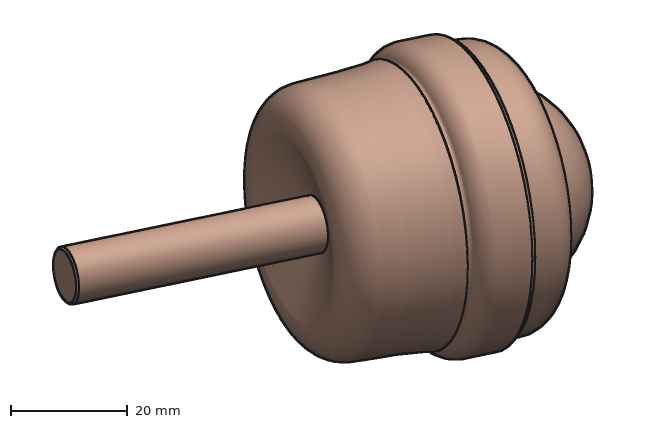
import cadquery as cq
import math

overall_length = 97.6

stem_radius = 5.1
stem_length = 42.8
stem_chamfer = 0.4

recess_radius = 16.6
recess_depth = 4.5

cup_radius = 24.4
cup_corner_radius = 6.4
cup_bend_y = 10.5
cup_bend_radius = 24.6
cup_rim_y = 19.3
cup_rim_radius = 25.2

groove_round_radius = 0.7
groove_start_angle = -80
collar_round_end_angle = -70

collar_radius = 55.5 / 2
collar_round_top_y = 26.4
collar_round_radius = 3.9
collar_top_y = 33.3
collar_chamfer_width = 0.5
collar_chamfer_height = 0.8

cap_radius = 26.1
cap_top_y = 42.7
cap_corner_radius = 5.8
ball_radius = 19.5
ball_top_y = overall_length - stem_length


def arc_point(center, radius, degrees):
    """Return the point on a circle at an angle measured from the radial direction."""
    angle = math.radians(degrees)
    return (center[0] + radius * math.cos(angle), center[1] + radius * math.sin(angle))


cup_corner_center = (cup_radius - cup_corner_radius, cup_corner_radius)
rim_offset = cup_corner_center[0] - recess_radius
recess_rim_y = cup_corner_radius - math.sqrt(cup_corner_radius**2 - rim_offset**2)

collar_round_center = (collar_radius - collar_round_radius, collar_round_top_y)
collar_round_end = arc_point(collar_round_center, collar_round_radius, collar_round_end_angle)
groove_center = arc_point(
    collar_round_center, collar_round_radius + groove_round_radius, collar_round_end_angle
)
cup_lip = arc_point(groove_center, groove_round_radius, groove_start_angle)

cap_corner_center = (cap_radius - cap_corner_radius, cap_top_y - cap_corner_radius)
ball_center = (0, ball_top_y - ball_radius)
ball_cut_radius = math.sqrt(ball_radius**2 - (cap_top_y - ball_center[1])**2)

profile = (
    cq.Workplane("XY")
    .moveTo(0, -stem_length)
    .lineTo(stem_radius - stem_chamfer, -stem_length)
    .lineTo(stem_radius, -stem_length + stem_chamfer)
    .lineTo(stem_radius, recess_depth)
    .lineTo(recess_radius, recess_rim_y)
    .threePointArc(arc_point(cup_corner_center, cup_corner_radius, -45), (cup_radius, cup_corner_radius))
    .lineTo(cup_bend_radius, cup_bend_y)
    .lineTo(cup_rim_radius, cup_rim_y)
    .lineTo(*cup_lip)
    .threePointArc(arc_point(groove_center, groove_round_radius, 180), collar_round_end)
    .threePointArc(
        arc_point(collar_round_center, collar_round_radius, -45),
        (collar_radius, collar_round_top_y),
    )
    .lineTo(collar_radius, collar_top_y - collar_chamfer_height)
    .lineTo(collar_radius - collar_chamfer_width, collar_top_y)
    .lineTo(cap_radius, collar_top_y)
    .lineTo(cap_radius, cap_corner_center[1])
    .threePointArc(
        arc_point(cap_corner_center, cap_corner_radius, 45),
        (cap_corner_center[0], cap_top_y),
    )
    .lineTo(ball_cut_radius, cap_top_y)
    .threePointArc(arc_point(ball_center, ball_radius, 60), (0, ball_top_y))
    .close()
)

result = profile.revolve(360, (0, 0, 0), (0, 1, 0))